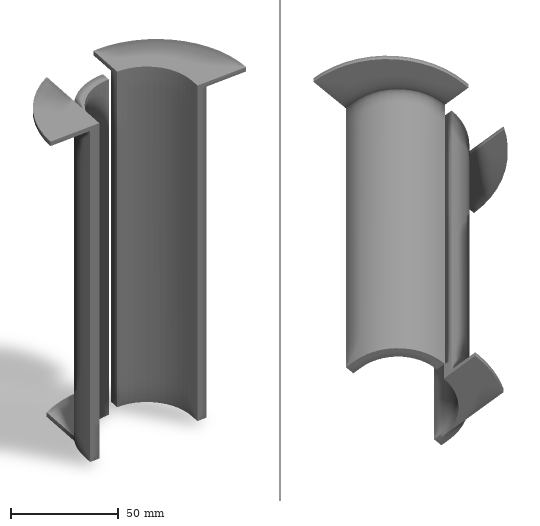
import cadquery as cq

height = 193.9
plate_thickness = 2.5
half_gap = 2.3

bore_radius = 25.0
wall = 5.0
tail = 4.8
shell_radius = bore_radius + wall
bore_y = half_gap + bore_radius

flange_radius = 50.0
flange_centre_y = 4.5
flange_reach_y = flange_centre_y + flange_radius

shell_bottom = plate_thickness
shell_top = height - plate_thickness
shell_height = shell_top - shell_bottom


def quarter_prism(radius, centre_x, centre_y, bottom, thickness):
    """Quarter disc on the -X, +Y side, extended straight to x = 0 and to the gap."""
    profile = (
        cq.Workplane("XY", origin=(0, 0, bottom))
        .moveTo(0, half_gap)
        .lineTo(centre_x - radius, half_gap)
    )
    if centre_y > half_gap:
        profile = profile.lineTo(centre_x - radius, centre_y)
    profile = profile.radiusArc((centre_x, centre_y + radius), radius)
    if centre_x < 0:
        profile = profile.lineTo(0, centre_y + radius)
    return profile.close().extrude(thickness)


def bore(bottom, thickness):
    return quarter_prism(bore_radius, -tail, half_gap, bottom, thickness)


def quarter_shell():
    outside = quarter_prism(shell_radius, -tail, half_gap, shell_bottom, shell_height)
    return outside.cut(bore(shell_bottom, shell_height))


def flange(bottom):
    disc = quarter_prism(flange_radius, 0, flange_centre_y, bottom, plate_thickness)
    return disc.cut(bore(bottom, plate_thickness))


def to_front(body):
    """Mirror a body across the gap to the -Y side."""
    return body.mirror("XZ")


def beyond_bore():
    """Block covering everything farther from the gap than the flat bore wall."""
    return cq.Workplane("XY").box(
        flange_radius, flange_reach_y - bore_y, height, centered=False
    ).translate((-flange_radius, bore_y, 0))


rear_shell = quarter_shell().union(flange(shell_top))

front_inner_shell = to_front(quarter_shell().cut(beyond_bore()))
front_outer_shell = to_front(quarter_shell().intersect(beyond_bore()))

front_top_flange = to_front(flange(shell_top).intersect(beyond_bore()))
front_bottom_flange = to_front(flange(0).cut(beyond_bore()))

result = cq.Compound.makeCompound([
    rear_shell.val(),
    front_inner_shell.val(),
    front_outer_shell.val(),
    front_top_flange.val(),
    front_bottom_flange.val(),
])